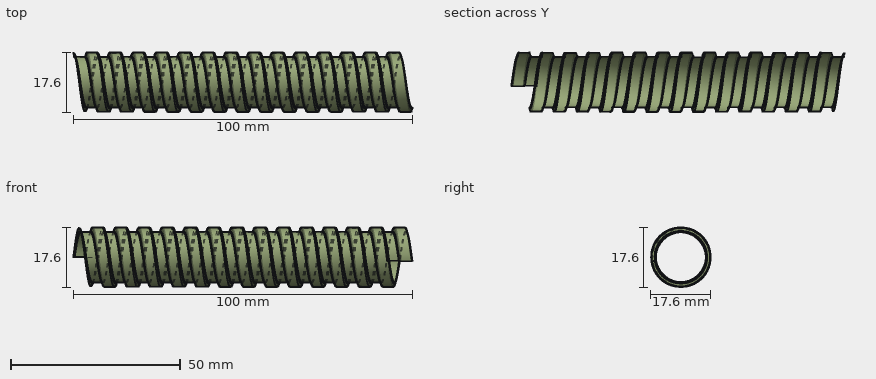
import cadquery as cq
import math


total_length = 100.0
outer_radius = 17.6 / 2
floor_inner_radius = 14.7 / 2
strip_thickness = 0.18
coil_pitch = 6.84
half_turn_count = 27
end_angle = 8.0

bend_radius = 0.18
hook_slope = 0.15
rise_slope = 0.35
floor_length = 3.2
hook_clearance = 0.02

crest_radius = outer_radius - strip_thickness / 2
lip_radius = crest_radius - strip_thickness
floor_radius = floor_inner_radius + strip_thickness / 2
foot_radius = floor_radius + strip_thickness

turn_count = half_turn_count / 2 + end_angle / 360
strip_width = total_length - coil_pitch * turn_count
lip_flank_run = hook_slope * (lip_radius - floor_radius)
rise_flank_run = rise_slope * (crest_radius - floor_radius)
foot_flank_run = hook_slope * (crest_radius - foot_radius)

flank_spacing = (strip_thickness + hook_clearance) * math.hypot(1, hook_slope)
hook_spacing = flank_spacing - strip_thickness * hook_slope
hook_length = (strip_width - coil_pitch - lip_flank_run - hook_spacing) / 2


def strip_centreline():
    """Corners of the strip as (axial position, radius), from the start lip to the end foot."""
    lip_end = hook_length
    floor_start = lip_end + lip_flank_run
    floor_end = floor_start + floor_length
    crest_start = floor_end + rise_flank_run
    foot_start = strip_width - hook_length
    crest_end = foot_start - foot_flank_run
    return [
        (0.0, lip_radius),
        (lip_end, lip_radius),
        (floor_start, floor_radius),
        (floor_end, floor_radius),
        (crest_start, crest_radius),
        (crest_end, crest_radius),
        (foot_start, foot_radius),
        (strip_width, foot_radius),
    ]


def polar_step(point, heading, distance):
    """Point reached by moving from a point along a heading."""
    axial, radius = point
    return (axial + distance * math.cos(heading), radius + distance * math.sin(heading))


def strip_side(corners, offset):
    """One face of the strip: its first point, the (start, middle, end) of each bend, its last point.

    A positive offset gives the face away from the hose axis.
    """
    headings = [
        math.atan2(end[1] - start[1], end[0] - start[0])
        for start, end in zip(corners, corners[1:])
    ]
    first = polar_step(corners[0], headings[0] + math.pi / 2, offset)
    last = polar_step(corners[-1], headings[-1] + math.pi / 2, offset)
    bends = []
    for corner, before, after in zip(corners[1:-1], headings, headings[1:]):
        half_turn = (after - before) / 2
        turn_sign = math.copysign(1, half_turn)
        normal = (before + after) / 2 + math.pi / 2
        centre = polar_step(corner, normal, turn_sign * bend_radius / math.cos(half_turn))
        reach = offset - turn_sign * bend_radius
        bends.append([polar_step(centre, normal + swing, reach) for swing in (-half_turn, 0, half_turn)])
    return first, bends, last


def add_bends(sketch, bends):
    """Extend an outline along one strip face, with a straight run up to each bend arc."""
    for start, middle, end in bends:
        sketch = sketch.lineTo(*start).threePointArc(middle, end)
    return sketch


def strip_section():
    """Closed outline of the strip as (axial position, radius); axial is +Z and radius is +X."""
    centreline = strip_centreline()
    outer_first, outer_bends, outer_last = strip_side(centreline, strip_thickness / 2)
    inner_first, inner_bends, inner_last = strip_side(centreline, -strip_thickness / 2)
    section_plane = cq.Plane(origin=(0, 0, 0), xDir=(0, 0, 1), normal=(0, 1, 0))
    sketch = add_bends(cq.Workplane(section_plane).moveTo(*outer_first), outer_bends)
    sketch = sketch.lineTo(*outer_last).lineTo(*inner_last)
    sketch = add_bends(sketch, [bend[::-1] for bend in inner_bends[::-1]])
    return sketch.lineTo(*inner_first).close()


def wound_strip():
    """Strip swept along a right-handed helix about Z, starting on the +X side."""
    helix = cq.Wire.makeHelix(coil_pitch, coil_pitch * turn_count, floor_radius)
    return strip_section().sweep(cq.Workplane(helix), isFrenet=True)


result = (
    wound_strip()
    .rotate((0, 0, 0), (0, 1, 0), 90)
    .rotate((0, 0, 0), (1, 0, 0), 90)
    .translate((-total_length / 2, 0, 0))
)